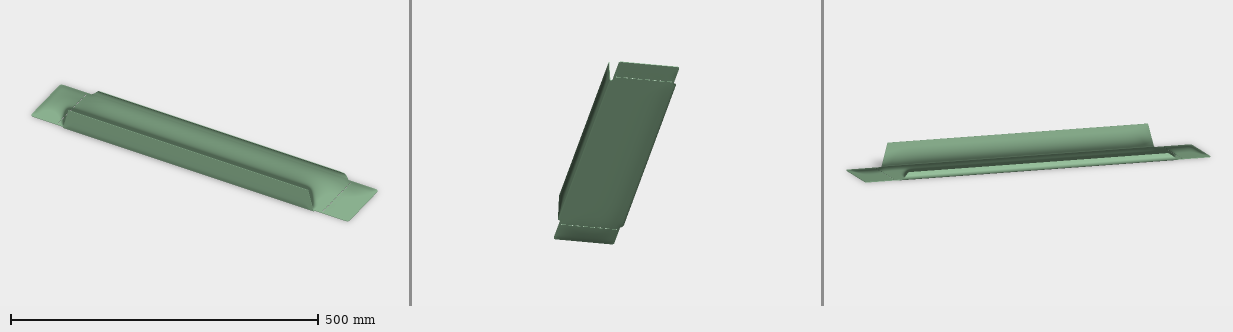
import cadquery as cq
import math

length = 595.0
depth = 110.0
wall_height = 40.0
thickness = 1.0

wall_bend_radius = 2.0
lip_bend_radius = 5.0
lip_bend_angle = 135.0
lip_straight = 5.5

wall_foot_inset = 63.0
wall_top_inset = 73.5
lip_foot_inset = 57.0
lip_end_slope = 1.0

plate_corner_radius = 4.5
tab_step = 4.0
plate_front = -depth / 2 + tab_step
wall_bend_start = -depth / 2 + wall_bend_radius
lip_bend_start = depth / 2 - lip_bend_radius
plate_width = 100.0
plate_back = plate_front + plate_width
plate_mid_y = (plate_front + plate_back) / 2

tab_length = 50.0
slot_count = 8
slot_pitch = 12.0
slot_length = 8.2
slot_width = 2.0


def make_plate():
    plate = cq.Workplane("XY").box(length, plate_width, thickness, centered=(True, True, False))
    plate = plate.edges("|Z").fillet(plate_corner_radius)
    return plate.translate((0, plate_mid_y, 0))


def make_front_wall():
    """Upright wall on a narrow strip and a tight bend, cut to a trapezoid."""
    outer_y = -depth / 2
    inner_y = outer_y + thickness
    inner_radius = wall_bend_radius - thickness
    wall = (
        cq.Workplane("YZ")
        .moveTo(plate_front, 0)
        .lineTo(wall_bend_start, 0)
        .radiusArc((outer_y, wall_bend_radius), wall_bend_radius)
        .lineTo(outer_y, wall_height)
        .lineTo(inner_y, wall_height)
        .lineTo(inner_y, wall_bend_radius)
        .radiusArc((wall_bend_start, thickness), -inner_radius)
        .lineTo(plate_front, thickness)
        .close()
        .extrude(length / 2, both=True)
    )
    foot = length / 2 - wall_foot_inset
    top = length / 2 - wall_top_inset
    outline = (
        cq.Workplane("XZ")
        .polyline([(-foot, 0), (foot, 0), (top, wall_height), (-top, wall_height)])
        .close()
        .extrude(depth / 2, both=True)
    )
    return wall.intersect(outline)


def lip_point(radius, angle, run=0.0):
    """YZ point on the lip bend, 'run' further along the tangent there."""
    a = math.radians(angle)
    y = lip_bend_start + radius * math.sin(a) + run * math.cos(a)
    z = lip_bend_radius - radius * math.cos(a) + run * math.sin(a)
    return y, z


def lip_end(angle, run=0.0):
    """XZ point on the +X end of the lip, whose inset grows along the unrolled lip."""
    unrolled = lip_bend_radius * math.radians(angle) + run
    x = length / 2 - lip_foot_inset - lip_end_slope * unrolled
    return x, lip_point(lip_bend_radius, angle, run)[1]


def make_lip_outline():
    """XZ outline with both slanted lip ends, extruded through the whole depth."""
    steps = 6
    bend_end = [lip_end(lip_bend_angle * i / steps) for i in range(steps + 1)]
    tip_x, tip_z = lip_end(lip_bend_angle, lip_straight)
    half = (
        cq.Workplane("XZ")
        .lineTo(*bend_end[0])
        .spline(bend_end[1:], includeCurrent=True)
        .lineTo(tip_x, tip_z)
        .lineTo(0, tip_z)
        .close()
        .extrude(depth / 2, both=True)
    )
    return half.union(half.mirror("YZ"))


def make_back_lip():
    """Lip curled back over the plate, with slanted ends."""
    inner_radius = lip_bend_radius - thickness
    mid_angle = lip_bend_angle / 2
    lip = (
        cq.Workplane("YZ")
        .moveTo(plate_back, 0)
        .lineTo(*lip_point(lip_bend_radius, 0))
        .threePointArc(lip_point(lip_bend_radius, mid_angle), lip_point(lip_bend_radius, lip_bend_angle))
        .lineTo(*lip_point(lip_bend_radius, lip_bend_angle, lip_straight))
        .lineTo(*lip_point(inner_radius, lip_bend_angle, lip_straight))
        .lineTo(*lip_point(inner_radius, lip_bend_angle))
        .threePointArc(lip_point(inner_radius, mid_angle), lip_point(inner_radius, 0))
        .lineTo(plate_back, thickness)
        .close()
        .extrude(length / 2, both=True)
    )
    return lip.intersect(make_lip_outline())


def make_fold_slots():
    """One row of slots across the plate at each tab."""
    slots = cq.Workplane("XY")
    fold_x = length / 2 - tab_length
    for x in (-fold_x, fold_x):
        for i in range(slot_count):
            y = plate_mid_y + (i - (slot_count - 1) / 2) * slot_pitch
            slot = cq.Workplane("XY").box(slot_width, slot_length, thickness, centered=(True, True, False))
            slots = slots.add(slot.translate((x, y, 0)))
    return slots.combine()


result = make_plate().union(make_front_wall()).union(make_back_lip()).cut(make_fold_slots())